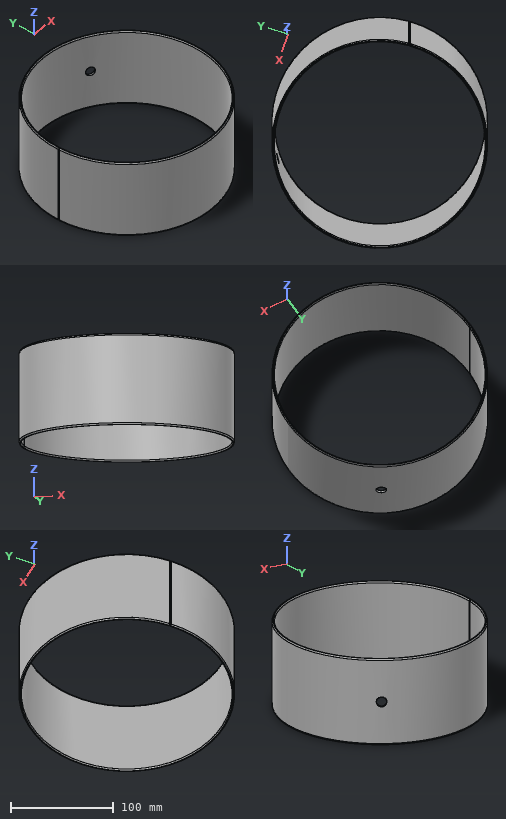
import cadquery as cq

outer_diameter = 210.0
height = 90.0
wall = 2.5
rim_chamfer_height = 1.7
rim_chamfer_depth = 0.8
split_width = 1.5
hole_diameter = 10.0
hole_angle = 59.0

outer_radius = outer_diameter / 2
inner_radius = outer_radius - wall
cutter_length = 4 * wall


def ring():
    body = cq.Workplane("XY").circle(outer_radius).circle(inner_radius).extrude(height)
    return body.faces("<Z or >Z").edges().chamfer(rim_chamfer_height, rim_chamfer_depth)


def split_cutter():
    return (
        cq.Workplane("XY", origin=(-outer_radius, 0, 0))
        .box(cutter_length, split_width, height, centered=(True, False, False))
    )


def hole_cutter():
    return (
        cq.Workplane("YZ", origin=(outer_radius - cutter_length / 2, 0, height / 2))
        .circle(hole_diameter / 2)
        .extrude(cutter_length)
        .rotate((0, 0, 0), (0, 0, 1), hole_angle)
    )


result = ring().cut(split_cutter()).cut(hole_cutter())